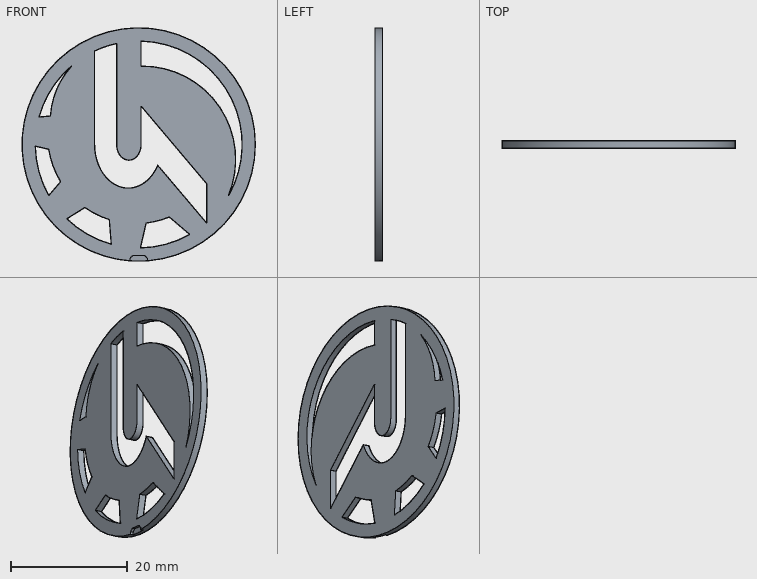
import cadquery as cq
import math

disc_radius = 20.0
thickness = 1.3
rim_inner_radius = 17.7
front_y = -thickness / 2

finger_left = -3.8
finger_right = 0.42
finger_end_depth = 2.7
u_left = -7.54
u_centre_x = -1.8
u_bottom_depth = 7.45
arm_right = 11.65
arm_upper_start_z = 6.55
arm_upper_end_z = -6.75
arm_lower_end_z = -13.45
arm_lower_start_x = 3.25

crescent_start_z = 13.45
crescent_mid = (11.86, 8.84)
crescent_tip_angle = -29.6
crescent_rim_mid_angle = 30.0

window_count = 3
window_pitch = 45.0
window_start_angle = 181.0
window_end_angle = 209.5
window_start_slant = 14.0
window_end_slant = 20.0
root_centre = (-0.52, 1.52)
root_radius = 15.1

sliver_tip_angle = 130.5
sliver_end_angle = window_end_angle - window_pitch
sliver_mid = (-14.47, 8.4)
sliver_inner_end = (-15.15, 4.9)

notch_width = 3.0
notch_height = 1.0
notch_chamfer = 0.5
notch_depth = 0.5


def face_plane():
    """Sketch plane on the front face: local x is X, local y is Z, normal is -Y."""
    return cq.Workplane("XZ", origin=(0, front_y, 0))


def polar(radius, angle):
    """Point on a circle about the disc axis, angle in degrees."""
    return (radius * math.cos(math.radians(angle)), radius * math.sin(math.radians(angle)))


def rim_point(angle):
    return polar(rim_inner_radius, angle)


def rim_point_at_x(x):
    """Upper point of the rim's inner circle at the given x."""
    return (x, math.sqrt(rim_inner_radius**2 - x**2))


def into_disc(profile, depth=thickness):
    return profile.extrude(-depth)


def u_opening():
    u_radius_x = u_centre_x - u_left
    finger_half_width = (finger_right - finger_left) / 2
    arm_offset = (arm_lower_start_x - u_centre_x) / u_radius_x
    bottom_end_angle = 360 - math.degrees(math.acos(arm_offset))
    top_left = rim_point_at_x(u_left)
    top_right = rim_point_at_x(finger_left)
    top_mid = rim_point_at_x((u_left + finger_left) / 2)
    profile = (
        face_plane()
        .moveTo(*top_left)
        .lineTo(u_left, 0)
        .ellipseArc(u_radius_x, u_bottom_depth, 180, bottom_end_angle, startAtCurrent=True)
        .lineTo(arm_right, arm_lower_end_z)
        .lineTo(arm_right, arm_upper_end_z)
        .lineTo(finger_right, arm_upper_start_z)
        .lineTo(finger_right, 0)
        .ellipseArc(finger_half_width, finger_end_depth, 180, 360, sense=-1, startAtCurrent=True)
        .lineTo(*top_right)
        .threePointArc(top_mid, top_left)
        .close()
    )
    return into_disc(profile)


def crescent_opening():
    top = rim_point_at_x(finger_right)
    profile = (
        face_plane()
        .moveTo(*top)
        .lineTo(finger_right, crescent_start_z)
        .threePointArc(crescent_mid, rim_point(crescent_tip_angle))
        .threePointArc(rim_point(crescent_rim_mid_angle), top)
        .close()
    )
    return into_disc(profile)


def root_point(start, direction):
    """Where the line from start along direction (degrees) first meets the root circle."""
    step_x, step_z = polar(1, direction)
    offset_x = start[0] - root_centre[0]
    offset_z = start[1] - root_centre[1]
    along = offset_x * step_x + offset_z * step_z
    gap = offset_x**2 + offset_z**2 - root_radius**2
    travel = -along - math.sqrt(along**2 - gap)
    return (start[0] + travel * step_x, start[1] + travel * step_z)


def root_arc_middle(first, second):
    """Middle of the root-circle arc between two of its points."""
    chord_x = (first[0] + second[0]) / 2 - root_centre[0]
    chord_z = (first[1] + second[1]) / 2 - root_centre[1]
    scale = root_radius / math.hypot(chord_x, chord_z)
    return (root_centre[0] + chord_x * scale, root_centre[1] + chord_z * scale)


def gear_window(turn):
    start_angle = window_start_angle + turn
    end_angle = window_end_angle + turn
    outer_start = rim_point(start_angle)
    outer_end = rim_point(end_angle)
    inner_start = root_point(outer_start, start_angle + 180 - window_start_slant)
    inner_end = root_point(outer_end, end_angle + 180 + window_end_slant)
    profile = (
        face_plane()
        .moveTo(*outer_start)
        .threePointArc(rim_point((start_angle + end_angle) / 2), outer_end)
        .lineTo(*inner_end)
        .threePointArc(root_arc_middle(inner_end, inner_start), inner_start)
        .close()
    )
    return into_disc(profile)


def sliver_window():
    tip = rim_point(sliver_tip_angle)
    rim_mid = rim_point((sliver_tip_angle + sliver_end_angle) / 2)
    profile = (
        face_plane()
        .moveTo(*tip)
        .threePointArc(rim_mid, rim_point(sliver_end_angle))
        .lineTo(*sliver_inner_end)
        .threePointArc(sliver_mid, tip)
        .close()
    )
    return into_disc(profile)


def rim_notch():
    half_width = notch_width / 2
    top_z = notch_height - disc_radius
    profile = face_plane().polyline([
        (-half_width, -disc_radius),
        (-half_width, top_z - notch_chamfer),
        (notch_chamfer - half_width, top_z),
        (half_width - notch_chamfer, top_z),
        (half_width, top_z - notch_chamfer),
        (half_width, -disc_radius),
    ]).close()
    return into_disc(profile, notch_depth)


result = into_disc(face_plane().circle(disc_radius))
result = result.cut(u_opening())
result = result.cut(crescent_opening())
for index in range(window_count):
    result = result.cut(gear_window(index * window_pitch))
result = result.cut(sliver_window())
result = result.cut(rim_notch())